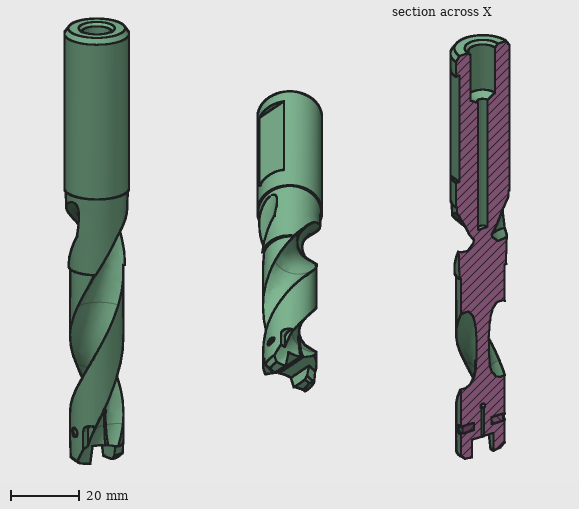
import cadquery as cq
import math


overall_length = 134.67
shank_diameter = 19.05
shank_radius = shank_diameter / 2
shank_length = 50.0
shank_base_z = overall_length - shank_length
shank_chamfer_radial = 1.2
shank_chamfer_height = 1.7
flat_depth = 1.2
flat_bottom_z = 92.9
flat_top_z = 128.0

bore_radius = 4.3
bore_depth = 16.0
bore_chamfer = 1.0
bore_floor_slope = math.radians(31)
coolant_radius = 1.65
coolant_bottom_z = 75.0

neck_top_radius = 9.2
neck_bottom_radius = 8.35
neck_base_z = 60.6
body_radius = 7.85

point_chamfer_radial = 1.6
point_chamfer_height = 1.3
point_land_rise = 0.35

flute_lead = 92.0
flute_front_z = 36.0
flute_cutter_radius = 7.45
core_radius = 2.2
front_core_radius = 3.8
front_ramp_bottom_z = 12.0
front_ramp_top_z = 28.0
runout_start_z = 72.0
runout_end_z = 82.6
flute_start_z = -1.0
flute_section_pitch = 3.0

seat_width = 7.5
seat_depth = 5.9
jaw_half_width_base = 4.3
jaw_half_width_shoulder = 3.5
jaw_half_width_tip = 2.6
jaw_shoulder_z = 1.5

slit_width = 0.6
cross_hole_diameter = 1.5
cross_hole_z = 16.0

pocket_width = 3.9
pocket_x = 4.65
pocket_top_z = 13.3
pocket_floor_y = -5.6

pin_diameter = 2.7
pin_x = -0.8
pin_z = 10.2
pin_outer_y = -7.2
pin_inner_y = -3.2

half_turns = (0, 180)

clearance = 2 * shank_diameter


def turned_blank():
    """Revolved outline of shank, neck, body and point, with the solid core still in place."""
    point_radius = body_radius - point_chamfer_radial
    return (
        cq.Workplane("XZ")
        .moveTo(0, 0)
        .lineTo(seat_width / 2, 0)
        .lineTo(point_radius, point_land_rise)
        .lineTo(body_radius, point_land_rise + point_chamfer_height)
        .lineTo(body_radius, neck_base_z)
        .lineTo(neck_bottom_radius, neck_base_z)
        .lineTo(neck_top_radius, shank_base_z)
        .lineTo(shank_radius, shank_base_z)
        .lineTo(shank_radius, overall_length - shank_chamfer_height)
        .lineTo(shank_radius - shank_chamfer_radial, overall_length)
        .lineTo(0, overall_length)
        .close()
        .revolve(360, (0, 0, 0), (0, 1, 0))
    )


def coolant_bore():
    """Chamfered shank bore with a conical floor that leads into the narrow coolant hole."""
    floor_z = overall_length - bore_depth
    cone_bottom_z = floor_z - (bore_radius - coolant_radius) * math.tan(bore_floor_slope)
    return (
        cq.Workplane("XZ")
        .moveTo(0, coolant_bottom_z)
        .lineTo(coolant_radius, coolant_bottom_z)
        .lineTo(coolant_radius, cone_bottom_z)
        .lineTo(bore_radius, floor_z)
        .lineTo(bore_radius, overall_length - bore_chamfer)
        .lineTo(bore_radius + bore_chamfer, overall_length)
        .lineTo(0, overall_length)
        .close()
        .revolve(360, (0, 0, 0), (0, 1, 0))
    )


def shank_flat():
    """Clamping flat on the +Y side of the shank."""
    return (
        cq.Workplane("XY")
        .box(shank_diameter, flat_depth, flat_top_z - flat_bottom_z, centered=(True, False, False))
        .translate((0, shank_radius - flat_depth, flat_bottom_z))
    )


def flute_section(z, flute_floor_radius, start_angle):
    """Cutter circle at height z, just touching the given floor radius."""
    angle = start_angle + 2 * math.pi * (z - flute_front_z) / flute_lead
    outward = cq.Vector(math.cos(angle), math.sin(angle), 0)
    center = outward * (flute_floor_radius + flute_cutter_radius) + cq.Vector(0, 0, z)
    plane = cq.Plane(origin=center, xDir=outward, normal=(0, 0, 1))
    circle = cq.Wire.makeCircle(flute_cutter_radius, cq.Vector(0, 0, 0), cq.Vector(0, 0, 1))
    return circle.moved(plane.location)


def flute_stretch(bottom, top, start_angle):
    """Winding cutter body between two (z, floor radius) stations."""
    count = math.ceil((top[0] - bottom[0]) / flute_section_pitch)
    sections = []
    for i in range(count + 1):
        share = i / count
        z = bottom[0] + share * (top[0] - bottom[0])
        floor_radius = bottom[1] + share * (top[1] - bottom[1])
        sections.append(flute_section(z, floor_radius, start_angle))
    return cq.Solid.makeLoft(sections)


def flute_cutters(start_angle):
    """Stretches of one flute: shallow tip, ramp, full-depth main part and run-out in the neck."""
    stations = [
        (flute_start_z, front_core_radius),
        (front_ramp_bottom_z, front_core_radius),
        (front_ramp_top_z, core_radius),
        ((front_ramp_top_z + runout_start_z) / 2, core_radius),
        (runout_start_z, core_radius),
        (runout_end_z, neck_top_radius),
    ]
    return [flute_stretch(low, high, start_angle) for low, high in zip(stations, stations[1:])]


def insert_seat():
    """Slot across the tip plus the stock beside the two tapered jaws with bevelled ends."""
    slot = cq.Workplane("XY").box(clearance, seat_width, seat_depth, centered=(True, True, False))
    jaw = (
        cq.Workplane("XZ")
        .moveTo(-jaw_half_width_tip, 0)
        .lineTo(jaw_half_width_tip, 0)
        .lineTo(jaw_half_width_shoulder, jaw_shoulder_z)
        .lineTo(jaw_half_width_base, seat_depth)
        .lineTo(-jaw_half_width_base, seat_depth)
        .lineTo(-jaw_half_width_shoulder, jaw_shoulder_z)
        .close()
        .extrude(clearance / 2, both=True)
    )
    beside_jaws = cq.Workplane("XY").box(
        clearance, clearance, seat_depth, centered=(True, True, False)
    ).cut(jaw)
    return slot.union(beside_jaws)


def clamping_slit():
    """Slit from the seat floor up to the cross hole."""
    slit = cq.Workplane("XY").box(
        clearance, slit_width, cross_hole_z, centered=(True, True, False)
    )
    cross_hole = (
        cq.Workplane("YZ")
        .center(0, cross_hole_z)
        .circle(cross_hole_diameter / 2)
        .extrude(clearance / 2, both=True)
    )
    return slit.union(cross_hole)


def relief_pocket(turn):
    """Round-topped pocket milled into the leading edge of a land, open towards the tip."""
    half_width = pocket_width / 2
    arc_z = pocket_top_z - half_width
    return (
        cq.Workplane("XZ", origin=(0, pocket_floor_y, 0))
        .moveTo(pocket_x - half_width, 0)
        .lineTo(pocket_x - half_width, arc_z)
        .threePointArc((pocket_x, pocket_top_z), (pocket_x + half_width, arc_z))
        .lineTo(pocket_x + half_width, 0)
        .close()
        .extrude(shank_radius)
        .rotate((0, 0, 0), (0, 0, 1), turn)
    )


def pin_cylinder(outer_y, turn):
    """Cylinder along Y from the pin's inner end out to outer_y."""
    return (
        cq.Workplane("XZ", origin=(pin_x, pin_inner_y, pin_z))
        .circle(pin_diameter / 2)
        .extrude(pin_inner_y - outer_y)
        .rotate((0, 0, 0), (0, 0, 1), turn)
    )


def drill_body():
    """Blank with bore, shank flat, two flutes, insert seat, slit, pockets and pin holes cut in."""
    body = turned_blank().cut(coolant_bore()).cut(shank_flat())
    for start_angle in (-math.pi / 2, math.pi / 2):
        for cutter in flute_cutters(start_angle):
            body = body.cut(cq.Workplane(cutter))
    body = body.cut(insert_seat()).cut(clamping_slit())
    for turn in half_turns:
        body = body.cut(relief_pocket(turn)).cut(pin_cylinder(-shank_radius, turn))
    return body


drill = drill_body()
clamping_pins = [pin_cylinder(pin_outer_y, turn) for turn in half_turns]

result = cq.Compound.makeCompound([drill.val(), *[pin.val() for pin in clamping_pins]])